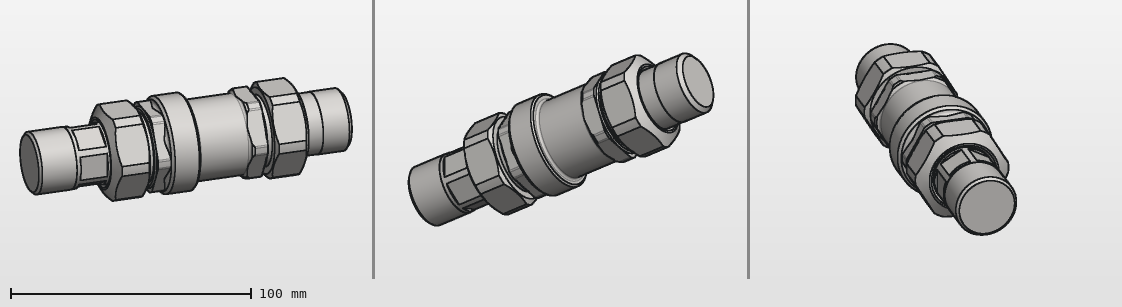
import cadquery as cq
import math


HEXAGON_HALF_ANGLE = 30.0

OVERALL_LENGTH = 138.0
REAR_END = OVERALL_LENGTH / 2
FRONT_END = -OVERALL_LENGTH / 2
BODY_CENTRE = 5.2
NUT_OUTER_FACE = 43.5
NUT_INNER_FACE = 27.3
COLLAR_OUTER_FACE = 24.2
NECK_END = 33.1

NUT_ACROSS_FLATS = 37.3
NUT_CORNER_DIAMETER = 40.7
NUT_OUTER_FACE_DIAMETER = 30.4
NUT_INNER_FACE_DIAMETER = 36.5
NUT_CHAMFER_ANGLE = 30.0
NUT_MOUTH_DIAMETER = 28.5
NUT_MOUTH_DEPTH = 1.1

NECK_DIAMETER = 30.4
BARREL_DIAMETER = 34.5
COLLAR_ACROSS_FLATS = 34.6
COLLAR_CORNER_DIAMETER = 38.1
COLLAR_EDGE_RADIUS = 1.8
COLLAR_REAR_CORNER_END = 23.7
COLLAR_REAR_CHAMFER = 1.1
COLLAR_REAR_FILLET = 1.2
SHOULDER_DIAMETER = 34.5
SHOULDER_FACE_DIAMETER = 33.1
SHOULDER_HEIGHT = 0.7

RING_DIAMETER = 41.4
RING_REAR_FACE = -0.5
RING_FRONT_FACE = -13.2
RING_REAR_CHAMFER = 0.8
RING_FRONT_CHAMFER = 1.2
RING_REAR_FILLET = 1.1
RING_FRONT_FILLET = 2.1

TAIL_DIAMETER = 26.2
THREAD_DIAMETER = 26.5
REAR_THREAD_START = 55.8
FRONT_THREAD_START = -52.6
REAR_TIP_DIAMETER = 22.6
REAR_TIP_LENGTH = 1.8
FRONT_TIP_DIAMETER = 24.2
FLATS_ACROSS = 24.0
FLATS_START = -38.9
FLATS_END = -50.8


def revolve_profile(sketch):
    """Turn a closed X-Y outline (X is the radius) a full turn around Y."""
    return sketch.close().revolve(360, (0, 0, 0), (0, 1, 0))


def hexagon_bar(across_flats, low, high):
    """Hexagonal bar along Y with corners on +X and -X."""
    across_corners = across_flats / math.cos(math.radians(HEXAGON_HALF_ANGLE))
    return (
        cq.Workplane("XZ", origin=(0, low, 0))
        .polygon(6, across_corners)
        .extrude(low - high)
    )


def cylinder_bar(diameter, low, high):
    """Round bar along Y."""
    return cq.Workplane("XZ", origin=(0, low, 0)).circle(diameter / 2).extrude(low - high)


def mirrored_to_front(rear_shape):
    """Mirror a rear shape through the middle of the body."""
    return rear_shape.mirror("XZ", (0, BODY_CENTRE, 0))


def make_rear_nut():
    outer_face = BODY_CENTRE + NUT_OUTER_FACE
    inner_face = BODY_CENTRE + NUT_INNER_FACE
    corner = NUT_CORNER_DIAMETER / 2
    slope = math.tan(math.radians(NUT_CHAMFER_ANGLE))
    outer_chamfer = (corner - NUT_OUTER_FACE_DIAMETER / 2) * slope
    inner_chamfer = (corner - NUT_INNER_FACE_DIAMETER / 2) * slope
    envelope = revolve_profile(
        cq.Workplane("XY")
        .moveTo(0, inner_face)
        .lineTo(NUT_INNER_FACE_DIAMETER / 2, inner_face)
        .lineTo(corner, inner_face + inner_chamfer)
        .lineTo(corner, outer_face - outer_chamfer)
        .lineTo(NUT_OUTER_FACE_DIAMETER / 2, outer_face)
        .lineTo(0, outer_face)
    )
    bore = revolve_profile(
        cq.Workplane("XY")
        .moveTo(0, inner_face)
        .lineTo(NECK_DIAMETER / 2, inner_face)
        .lineTo(NECK_DIAMETER / 2, BODY_CENTRE + NECK_END)
        .lineTo(TAIL_DIAMETER / 2, BODY_CENTRE + NECK_END)
        .lineTo(TAIL_DIAMETER / 2, outer_face - NUT_MOUTH_DEPTH)
        .lineTo(NUT_MOUTH_DIAMETER / 2, outer_face)
        .lineTo(0, outer_face)
    )
    return hexagon_bar(NUT_ACROSS_FLATS, inner_face, outer_face).intersect(envelope).cut(bore)


def make_collar(low, high):
    """Hexagon collar with rounded-off corners and softened edges beside its flats."""
    hexagon = hexagon_bar(COLLAR_ACROSS_FLATS, low, high)
    collar = hexagon.intersect(cylinder_bar(COLLAR_CORNER_DIAMETER, low, high))
    return collar.edges("|Y").fillet(COLLAR_EDGE_RADIUS)


def make_rear_collar():
    face = BODY_CENTRE + COLLAR_OUTER_FACE
    corner = COLLAR_CORNER_DIAMETER / 2
    barrel = BARREL_DIAMETER / 2
    inner_end = COLLAR_REAR_CORNER_END - COLLAR_REAR_CHAMFER
    fillet_end = inner_end - COLLAR_REAR_FILLET
    envelope = revolve_profile(
        cq.Workplane("XY")
        .moveTo(0, fillet_end)
        .lineTo(barrel, fillet_end)
        .radiusArc((barrel + COLLAR_REAR_FILLET, inner_end), COLLAR_REAR_FILLET)
        .lineTo(corner, COLLAR_REAR_CORNER_END)
        .lineTo(corner, face)
        .lineTo(0, face)
    )
    return make_collar(fillet_end, face).intersect(envelope)


def make_front_collar():
    return make_collar(BODY_CENTRE - COLLAR_OUTER_FACE, RING_FRONT_FACE)


def make_rear_shoulder():
    base = BODY_CENTRE + COLLAR_OUTER_FACE
    return revolve_profile(
        cq.Workplane("XY")
        .moveTo(0, base)
        .lineTo(SHOULDER_DIAMETER / 2, base)
        .lineTo(SHOULDER_FACE_DIAMETER / 2, base + SHOULDER_HEIGHT)
        .lineTo(0, base + SHOULDER_HEIGHT)
    )


def make_turned_body():
    """Necks, barrel and ring of the body."""
    neck = NECK_DIAMETER / 2
    barrel = BARREL_DIAMETER / 2
    ring = RING_DIAMETER / 2
    front_fillet_end = RING_FRONT_FACE - RING_FRONT_FILLET
    rear_fillet_end = RING_REAR_FACE + RING_REAR_FILLET
    return revolve_profile(
        cq.Workplane("XY")
        .moveTo(0, BODY_CENTRE - NECK_END)
        .lineTo(neck, BODY_CENTRE - NECK_END)
        .lineTo(neck, front_fillet_end)
        .lineTo(barrel, front_fillet_end)
        .radiusArc((barrel + RING_FRONT_FILLET, RING_FRONT_FACE), RING_FRONT_FILLET)
        .lineTo(ring - RING_FRONT_CHAMFER, RING_FRONT_FACE)
        .lineTo(ring, RING_FRONT_FACE + RING_FRONT_CHAMFER)
        .lineTo(ring, RING_REAR_FACE - RING_REAR_CHAMFER)
        .lineTo(ring - RING_REAR_CHAMFER, RING_REAR_FACE)
        .lineTo(barrel + RING_REAR_FILLET, RING_REAR_FACE)
        .radiusArc((barrel, rear_fillet_end), RING_REAR_FILLET)
        .lineTo(barrel, COLLAR_REAR_CORNER_END)
        .lineTo(neck, COLLAR_REAR_CORNER_END)
        .lineTo(neck, BODY_CENTRE + NECK_END)
        .lineTo(0, BODY_CENTRE + NECK_END)
    )


def make_body():
    rear_shoulder = make_rear_shoulder()
    body = make_turned_body().union(make_rear_collar()).union(make_front_collar())
    return body.union(rear_shoulder).union(mirrored_to_front(rear_shoulder))


def make_rear_tail():
    seat = BODY_CENTRE + NECK_END
    return revolve_profile(
        cq.Workplane("XY")
        .moveTo(0, seat)
        .lineTo(TAIL_DIAMETER / 2, seat)
        .lineTo(TAIL_DIAMETER / 2, REAR_THREAD_START)
        .lineTo(THREAD_DIAMETER / 2, REAR_THREAD_START)
        .lineTo(THREAD_DIAMETER / 2, REAR_END - REAR_TIP_LENGTH)
        .lineTo(REAR_TIP_DIAMETER / 2, REAR_END)
        .lineTo(0, REAR_END)
    )


def make_front_tail():
    shank = cylinder_bar(TAIL_DIAMETER, FRONT_THREAD_START, BODY_CENTRE - NECK_END)
    hexagon = hexagon_bar(FLATS_ACROSS, FLATS_END, FLATS_START)
    hexagon = hexagon.rotate((0, 0, 0), (0, 1, 0), HEXAGON_HALF_ANGLE)
    offcuts = cylinder_bar(THREAD_DIAMETER, FLATS_END, FLATS_START).cut(hexagon)
    thread = cylinder_bar(THREAD_DIAMETER, FRONT_END, FRONT_THREAD_START)
    tip_chamfer = (THREAD_DIAMETER - FRONT_TIP_DIAMETER) / 2
    return shank.cut(offcuts).union(thread.faces("<Y").chamfer(tip_chamfer))


rear_nut = make_rear_nut()
front_nut = mirrored_to_front(rear_nut)
body = make_body()
rear_tail = make_rear_tail()
front_tail = make_front_tail()

result = cq.Compound.makeCompound(
    [body.val(), rear_nut.val(), front_nut.val(), rear_tail.val(), front_tail.val()]
)